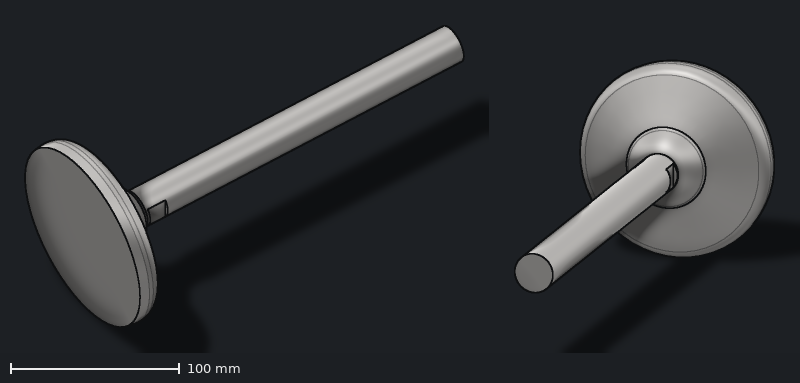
import cadquery as cq
import math

total_length = 269.0

rim_radius = 60.0
sole_radius = 59.0
rim_height = 6.0
band_height = 9.0
band_taper = 5.0
shoulder_radius = 8.0
cone_angle = 19.5
cone_top_radius = 24.9

dome_radius = 28.0
dome_edge_height = 27.7
dome_edge_radius = 23.4

stem_radius = 12.0
stem_bottom_height = 39.0
flat_bottom_height = 40.8
flat_top_height = 53.6
across_flats = 19.0


def point_on_arc(centre, radius, angle):
    """Point at an angle in degrees, measured from the radial direction towards +Y."""
    turn = math.radians(angle)
    return (centre[0] + radius * math.cos(turn), centre[1] + radius * math.sin(turn))


def make_foot():
    """Revolve the foot plate and its ball dome about the Y axis."""
    band_top_radius = rim_radius - (band_height - rim_height) * math.tan(math.radians(band_taper))

    cone_normal = 90 - cone_angle
    shoulder_centre = point_on_arc((band_top_radius, band_height), -shoulder_radius, band_taper)
    shoulder_mid = point_on_arc(shoulder_centre, shoulder_radius, (band_taper + cone_normal) / 2)
    shoulder_end = point_on_arc(shoulder_centre, shoulder_radius, cone_normal)
    cone_rise = (shoulder_end[0] - cone_top_radius) * math.tan(math.radians(cone_angle))
    cone_top_height = shoulder_end[1] + cone_rise

    dome_edge_angle = math.degrees(math.acos(dome_edge_radius / dome_radius))
    dome_centre_height = dome_edge_height - math.sqrt(dome_radius**2 - dome_edge_radius**2)
    dome_centre = (0, dome_centre_height)
    dome_cut_angle = math.degrees(math.asin((stem_bottom_height - dome_centre_height) / dome_radius))
    dome_mid = point_on_arc(dome_centre, dome_radius, (dome_edge_angle + dome_cut_angle) / 2)
    dome_cut = point_on_arc(dome_centre, dome_radius, dome_cut_angle)

    profile = (
        cq.Workplane("XY")
        .lineTo(sole_radius, 0)
        .lineTo(rim_radius, rim_height)
        .lineTo(band_top_radius, band_height)
        .threePointArc(shoulder_mid, shoulder_end)
        .lineTo(cone_top_radius, cone_top_height)
        .lineTo(dome_edge_radius, dome_edge_height)
        .threePointArc(dome_mid, dome_cut)
        .lineTo(0, stem_bottom_height)
        .close()
    )
    return profile.revolve(360, (0, 0, 0), (0, 1, 0))


def make_stem():
    """Round stem along Y with two wrench flats facing -X and +X."""
    length = total_length - stem_bottom_height
    stem = cq.Workplane("XZ", origin=(0, stem_bottom_height, 0)).circle(stem_radius).extrude(-length)
    flat_length = flat_top_height - flat_bottom_height
    flat_depth = stem_radius - across_flats / 2
    flat_centre_x = (stem_radius + across_flats / 2) / 2
    flat_centre_y = (flat_top_height + flat_bottom_height) / 2
    for side in (-1, 1):
        cutter = cq.Workplane("XY").box(flat_depth, flat_length, 2 * stem_radius)
        stem = stem.cut(cutter.translate((side * flat_centre_x, flat_centre_y, 0)))
    return stem


result = make_foot().union(make_stem())